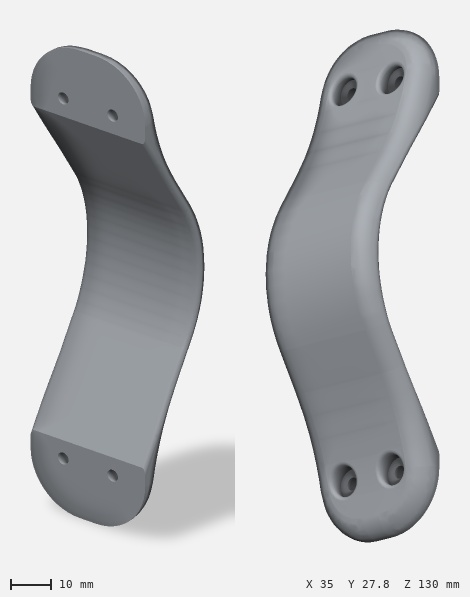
import cadquery as cq
import math

LENGTH = 130.0
WIDTH = 35.0
CROWN_HEIGHT = 27.8
HALF_LENGTH = LENGTH / 2
HALF_WIDTH = WIDTH / 2

TIP_THICKNESS = 5.2
LEG_ANGLE = math.radians(33)
OUTER_CROWN_RADIUS = 35.1

PAD_EDGE_Z = 45.0
INNER_CROWN_RADIUS = 34.8

PAD_CORNER_RADIUS = 15.0
EDGE_RADIUS = 5.1
INNER_EDGE_RADIUS = 1.0
SEAT_RIM_RADIUS = 0.9

HOLE_DIAMETER = 3.2
HOLE_X = 7.5
HOLE_Z = HALF_LENGTH - PAD_CORNER_RADIUS
SEAT_DIAMETER = 7.5
SEAT_FLOOR = 3.2


def crown_tangent(crown_y, radius):
    """Point (y, z) where a crown arc with its apex at crown_y meets the upper leg."""
    return crown_y - radius * (1 - math.cos(LEG_ANGLE)), radius * math.sin(LEG_ANGLE)


def mirrored(point):
    """The same (y, z) point on the lower half."""
    return point[0], -point[1]


def outer_body():
    """Solid between the mounting plane and the outer surface, with rounded ends and edges."""
    crown_end = crown_tangent(CROWN_HEIGHT, OUTER_CROWN_RADIUS)
    leg_y_at_tip = crown_end[0] - (HALF_LENGTH - crown_end[1]) * math.tan(LEG_ANGLE)
    blend_radius = (TIP_THICKNESS - leg_y_at_tip) / (1 / math.cos(LEG_ANGLE) - 1)

    def blend_point(angle):
        y = TIP_THICKNESS + blend_radius * (1 - math.cos(angle))
        return y, HALF_LENGTH - blend_radius * math.sin(angle)

    tip = (TIP_THICKNESS, HALF_LENGTH)
    blend_middle = blend_point(LEG_ANGLE / 2)
    blend_end = blend_point(LEG_ANGLE)
    profile = (
        cq.Workplane("YZ")
        .moveTo(0, -HALF_LENGTH)
        .lineTo(*mirrored(tip))
        .threePointArc(mirrored(blend_middle), mirrored(blend_end))
        .lineTo(*mirrored(crown_end))
        .threePointArc((CROWN_HEIGHT, 0), crown_end)
        .lineTo(*blend_end)
        .threePointArc(blend_middle, tip)
        .lineTo(0, HALF_LENGTH)
        .close()
    )
    body = profile.extrude(HALF_WIDTH, both=True)
    body = body.edges("|Y").fillet(PAD_CORNER_RADIUS)
    crown_edges = cq.selectors.BoxSelector(
        (-WIDTH, CROWN_HEIGHT / 2, -1.3),
        (WIDTH, CROWN_HEIGHT, 1.3),
    )
    return body.edges(crown_edges).fillet(EDGE_RADIUS)


def hollow():
    """Space under the arch, between the two mounting pads."""
    pad_edge = (0, PAD_EDGE_Z)
    leg_end_y, leg_end_z = crown_tangent(0, INNER_CROWN_RADIUS)
    leg_rise = (PAD_EDGE_Z - leg_end_z) * math.tan(LEG_ANGLE)
    crown_y = leg_rise - leg_end_y
    leg_end = (leg_rise, leg_end_z)
    return (
        cq.Workplane("YZ")
        .moveTo(*mirrored(pad_edge))
        .lineTo(*mirrored(leg_end))
        .threePointArc((crown_y, 0), leg_end)
        .lineTo(*pad_edge)
        .close()
        .extrude(WIDTH, both=True)
    )


def round_inner_edges(part, space):
    """Round the side edges of the surfaces that the hollow left on the part."""
    edges = []
    for wall in space.faces("not(|X or <Y)").vals():
        inner_face = part.faces(cq.selectors.NearestToPointSelector(wall.Center().toTuple()))
        edges += inner_face.edges("not |X").vals()
    return part.newObject(edges).fillet(INNER_EDGE_RADIUS)


def drill(part, x, z, diameter, floor):
    """Remove a round hole along Y, from the floor out through the outer surface."""
    start = cq.Workplane("XZ", origin=(x, floor, z))
    return part.cut(start.circle(diameter / 2).extrude(-CROWN_HEIGHT))


def add_screw_hole(part, x, z):
    """Through hole with a counterbored seat whose outer rim is rounded."""
    part = drill(part, x, z, SEAT_DIAMETER, SEAT_FLOOR)
    reach = SEAT_DIAMETER / 2 + SEAT_RIM_RADIUS
    rim = cq.selectors.BoxSelector(
        (x - reach, SEAT_FLOOR + SEAT_RIM_RADIUS, z - reach),
        (x + reach, CROWN_HEIGHT, z + reach),
        boundingbox=True,
    )
    part = part.edges(rim).fillet(SEAT_RIM_RADIUS)
    return drill(part, x, z, HOLE_DIAMETER, 0)


arch_space = hollow()
handle = round_inner_edges(outer_body().cut(arch_space), arch_space)
for hole_z in (-HOLE_Z, HOLE_Z):
    for hole_x in (-HOLE_X, HOLE_X):
        handle = add_screw_hole(handle, hole_x, hole_z)

result = handle